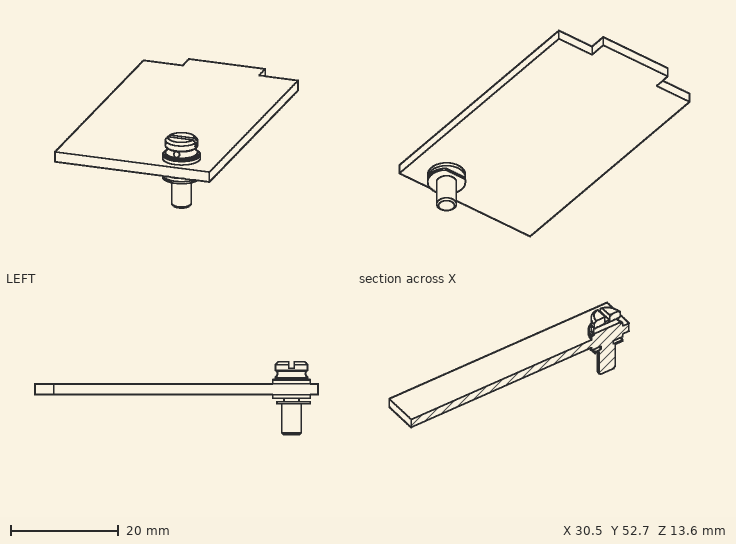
import cadquery as cq

plate_width = 30.5
total_length = 52.7
plate_thickness = 2.0
tab_width = 15.05
tab_length = 3.5

screw_x = plate_width - 7.25
screw_y = 4.95

screw_height = 13.55
sleeve_projection = 0.7
clip_gap = 0.65
clip_thickness = 0.4
head_top = plate_thickness + 4.1
head_bottom = head_top - 1.8
neck_bottom = head_top - 2.95
sleeve_top = plate_thickness + sleeve_projection + 0.15
sleeve_bottom = -sleeve_projection
clip_top = sleeve_bottom - clip_gap
clip_bottom = clip_top - clip_thickness
tip_bottom = head_top - screw_height

head_radius = 3.0
neck_top_radius = 2.75
neck_waist_radius = 2.7
sleeve_radius = 3.55
undercut_radius = 1.4
shank_radius = 1.85
head_chamfer = 0.55
head_lower_chamfer = 0.2
sleeve_chamfer = 0.15
tip_chamfer = 0.35

slot_width = 0.95
slot_depth = 1.2
cross_hole_diameter = 1.1
cross_hole_drop = 2.35
clip_flat_distance = 2.75


def make_plate():
    body_length = total_length - tab_length
    body = cq.Workplane("XY").box(plate_width, body_length, plate_thickness, centered=False)
    tab = (
        cq.Workplane("XY")
        .box(tab_width, total_length, plate_thickness, centered=False)
        .translate(((plate_width - tab_width) / 2, 0, 0))
    )
    return body.union(tab)


def make_turned_screw():
    """Head, concave neck, sleeve, undercut and shank revolved about Z."""
    neck_waist = head_bottom - (head_bottom - neck_bottom) / 3
    return (
        cq.Workplane("XZ")
        .moveTo(0, head_top)
        .lineTo(head_radius - head_chamfer, head_top)
        .lineTo(head_radius, head_top - head_chamfer)
        .lineTo(head_radius, head_bottom + head_lower_chamfer)
        .lineTo(neck_top_radius, head_bottom)
        .threePointArc((neck_waist_radius, neck_waist), (head_radius, neck_bottom))
        .lineTo(head_radius, sleeve_top)
        .lineTo(sleeve_radius - sleeve_chamfer, sleeve_top)
        .lineTo(sleeve_radius, sleeve_top - sleeve_chamfer)
        .lineTo(sleeve_radius, sleeve_bottom)
        .lineTo(undercut_radius, sleeve_bottom)
        .lineTo(undercut_radius, clip_bottom)
        .lineTo(shank_radius, clip_bottom)
        .lineTo(shank_radius, tip_bottom + tip_chamfer)
        .lineTo(shank_radius - tip_chamfer, tip_bottom)
        .lineTo(0, tip_bottom)
        .close()
        .revolve(360, (0, 0, 0), (0, 1, 0))
    )


def make_clip():
    """Retaining disc with a flat on its +Y side."""
    disc = cq.Workplane("XY").circle(sleeve_radius).extrude(clip_thickness)
    flat_cut = (
        cq.Workplane("XY")
        .box(2 * sleeve_radius, sleeve_radius, clip_thickness, centered=(True, False, False))
        .translate((0, clip_flat_distance, 0))
    )
    return disc.cut(flat_cut).translate((0, 0, clip_bottom))


def make_driver_slot():
    return (
        cq.Workplane("XY")
        .box(2 * sleeve_radius, slot_width, slot_depth, centered=(True, True, False))
        .translate((0, 0, head_top - slot_depth))
    )


def make_cross_hole():
    return (
        cq.Workplane("XZ")
        .center(0, head_top - cross_hole_drop)
        .circle(cross_hole_diameter / 2)
        .extrude(sleeve_radius, both=True)
    )


screw = make_turned_screw().union(make_clip()).cut(make_driver_slot()).cut(make_cross_hole())
result = make_plate().union(screw.translate((screw_x, screw_y, 0)))